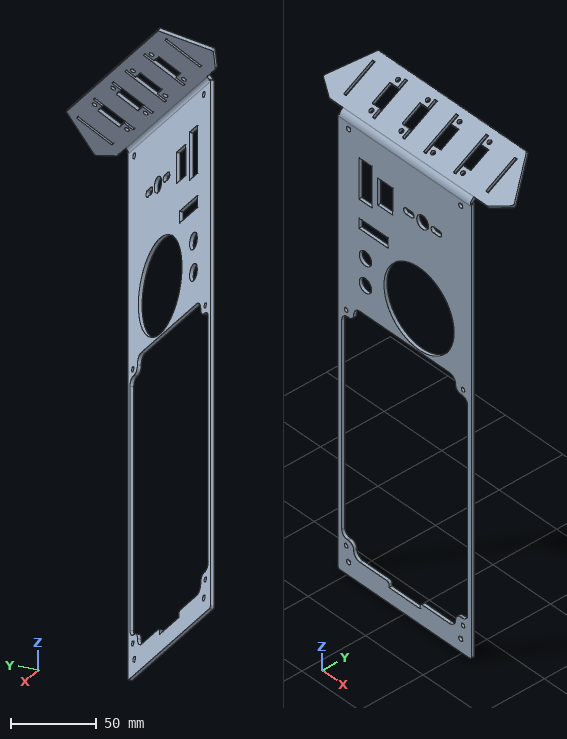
import cadquery as cq
import math

THICKNESS = 2.5
OVERALL_DEPTH = 38.92
OVERALL_HEIGHT = 360.19
OVERALL_WIDTH = 165.0

BEND_ANGLE = 60.0
BEND_OUTER_RADIUS = 6.0
BEND_INNER_RADIUS = BEND_OUTER_RADIUS - THICKNESS
BEND_SIN = math.sin(math.radians(BEND_ANGLE))
BEND_COS = math.cos(math.radians(BEND_ANGLE))
BEND_DEPTH = BEND_OUTER_RADIUS * (1 - BEND_COS)
BEND_RISE = BEND_OUTER_RADIUS * BEND_SIN

FLANGE_LENGTH = (OVERALL_DEPTH - BEND_DEPTH - THICKNESS * BEND_COS) / BEND_SIN
PANEL_HEIGHT = OVERALL_HEIGHT - BEND_RISE - FLANGE_LENGTH * BEND_COS

PANEL_WIDTH = 116.0
PANEL_CORNER_RADIUS = 1.5
BEND_WIDTH = 114.0
BEND_RELIEF_START = 1.2

MOUNT_HOLE_DIAMETER = 3.4
MOUNT_HOLE_SPACING_X = 97.5
MOUNT_HOLE_LEVELS = (10.0, 330.4)

TALL_CUTOUT = (-34.1, 299.2, 11.2, 30.5)
SWITCH_CUTOUT = (-16.8, 299.0, 13.0, 19.8)
WIDE_CUTOUT = (-27.1, 266.0, 25.2, 7.5)

CONNECTOR_X = 15.6
CONNECTOR_Z = 298.8
CONNECTOR_DIAMETER = 10.0
CONNECTOR_SLOT_OFFSET = 12.0
CONNECTOR_SLOT_LENGTH = 9.0
CONNECTOR_SLOT_WIDTH = 4.3

BUTTON_X = -34.1
BUTTON_LEVELS = (223.0, 243.0)
BUTTON_DIAMETER = 10.5

FAN_X = 12.5
FAN_Z = 233.1
FAN_DIAMETER = 60.8

WINDOW_WIDTH = 109.2
WINDOW_BOTTOM = 15.7
WINDOW_TOP = 201.2
WINDOW_NECK_WIDTH = 88.4
LOBE_HEIGHT = 10.4
LOBE_RADIUS = 4.7
LOBE_MARGIN = 1.0
WINDOW_NECK_RADIUS = 5.5
WINDOW_NOTCH_WIDTH = 27.0
WINDOW_NOTCH_DEPTH = 4.0
WINDOW_NOTCH_RADIUS = 2.0
SCREW_HOLE_DIAMETER = 3.0
SCREW_HOLE_SPACING_X = 101.6
SCREW_HOLE_LEVELS = (20.9, 195.4)

WING_TIP_HEIGHT = 9.5
WING_TIP_RADIUS = 1.5
WING_UPPER_ANGLE = 31.0
WING_LOWER_ANGLE = 57.5
FLANGE_MIDDLE = FLANGE_LENGTH / 2

SIDE_SLOT_SPACING = 123.6
SIDE_SLOT_WIDTH = 2.0
SIDE_SLOT_LENGTH = 26.0

PORT_PITCH = 26.0
PORT_INNER_EDGE = 8.2
PORT_WIDTH = 8.6
PORT_LENGTH = 16.0
PORT_STRIP_WIDTH = 2.0
PORT_STRIP_LENGTH = 29.4
PORT_HOLE_OFFSET = 5.6
PORT_HOLE_SPACING = 24.0
PORT_HOLE_DIAMETER = 3.0


def panel_plane():
    """XZ sketch plane on the outer face, facing -Y."""
    return cq.Workplane("XZ")


def flange_plane():
    """Sketch plane on the outer flange face, with local y running up the slope from the bend."""
    origin = (0, BEND_DEPTH, PANEL_HEIGHT + BEND_RISE)
    return cq.Workplane(cq.Plane(origin=origin, xDir=(1, 0, 0), normal=(0, -BEND_COS, BEND_SIN)))


def make_panel():
    return (
        panel_plane()
        .center(0, PANEL_HEIGHT / 2)
        .rect(PANEL_WIDTH, PANEL_HEIGHT)
        .extrude(-THICKNESS)
        .edges("|Y and <Z")
        .fillet(PANEL_CORNER_RADIUS)
    )


def make_bend():
    def arc_point(radius, angle):
        turn = math.radians(angle)
        return (
            BEND_OUTER_RADIUS - radius * math.cos(turn),
            PANEL_HEIGHT + radius * math.sin(turn),
        )

    half_turn = BEND_ANGLE / 2
    bend = (
        cq.Workplane("YZ")
        .moveTo(*arc_point(BEND_OUTER_RADIUS, 0))
        .threePointArc(arc_point(BEND_OUTER_RADIUS, half_turn), arc_point(BEND_OUTER_RADIUS, BEND_ANGLE))
        .lineTo(*arc_point(BEND_INNER_RADIUS, BEND_ANGLE))
        .threePointArc(arc_point(BEND_INNER_RADIUS, half_turn), arc_point(BEND_INNER_RADIUS, 0))
        .close()
        .extrude(PANEL_WIDTH / 2, both=True)
    )
    lower_part = cq.Workplane("XY").box(PANEL_WIDTH, OVERALL_DEPTH, 2 * (PANEL_HEIGHT + BEND_RELIEF_START))
    upper_part = cq.Workplane("XY").box(BEND_WIDTH, OVERALL_DEPTH, 2 * OVERALL_HEIGHT)
    return bend.intersect(lower_part.union(upper_part))


def make_flange():
    """Flange with a pointed wing on each side, its tip rounded between two sloping edges."""
    tip_centre_x = OVERALL_WIDTH / 2 - WING_TIP_RADIUS

    def tip_point(angle):
        turn = math.radians(angle)
        return (
            tip_centre_x + WING_TIP_RADIUS * math.cos(turn),
            WING_TIP_HEIGHT + WING_TIP_RADIUS * math.sin(turn),
        )

    upper_x, upper_y = tip_point(WING_UPPER_ANGLE)
    lower_x, lower_y = tip_point(-WING_LOWER_ANGLE)
    top_x = upper_x - (FLANGE_LENGTH - upper_y) * math.tan(math.radians(WING_UPPER_ANGLE))
    bottom_x = lower_x - lower_y * math.tan(math.radians(WING_LOWER_ANGLE))
    half = (
        flange_plane()
        .lineTo(bottom_x, 0)
        .lineTo(lower_x, lower_y)
        .threePointArc(tip_point(0), (upper_x, upper_y))
        .lineTo(top_x, FLANGE_LENGTH)
        .lineTo(0, FLANGE_LENGTH)
        .close()
        .extrude(-THICKNESS)
    )
    return half.union(half.mirror("YZ")).clean()


def make_panel_cutters():
    cutters = []

    def cut(sketch):
        cutters.append(sketch.extrude(-THICKNESS))

    for x, z, width, height in (TALL_CUTOUT, SWITCH_CUTOUT, WIDE_CUTOUT):
        cut(panel_plane().center(x, z).rect(width, height))

    mounts = [(side * MOUNT_HOLE_SPACING_X / 2, z) for side in (-1, 1) for z in MOUNT_HOLE_LEVELS]
    cut(panel_plane().pushPoints(mounts).circle(MOUNT_HOLE_DIAMETER / 2))
    screws = [(side * SCREW_HOLE_SPACING_X / 2, z) for side in (-1, 1) for z in SCREW_HOLE_LEVELS]
    cut(panel_plane().pushPoints(screws).circle(SCREW_HOLE_DIAMETER / 2))
    buttons = [(BUTTON_X, z) for z in BUTTON_LEVELS]
    cut(panel_plane().pushPoints(buttons).circle(BUTTON_DIAMETER / 2))
    cut(panel_plane().center(FAN_X, FAN_Z).circle(FAN_DIAMETER / 2))

    cut(panel_plane().center(CONNECTOR_X, CONNECTOR_Z).circle(CONNECTOR_DIAMETER / 2))
    slots = [(CONNECTOR_X + side * CONNECTOR_SLOT_OFFSET, CONNECTOR_Z) for side in (-1, 1)]
    cut(panel_plane().pushPoints(slots).slot2D(CONNECTOR_SLOT_LENGTH, CONNECTOR_SLOT_WIDTH))
    return cutters


def make_window_cutter():
    """Window with a rounded lobe left at each corner and a notch in the bottom edge."""
    middle = (WINDOW_BOTTOM + WINDOW_TOP) / 2
    height = WINDOW_TOP - WINDOW_BOTTOM
    neck = panel_plane().center(0, middle).rect(WINDOW_NECK_WIDTH, height).extrude(-THICKNESS)
    neck = neck.edges("|Y").fillet(WINDOW_NECK_RADIUS)
    body = (
        panel_plane()
        .center(0, middle)
        .rect(WINDOW_WIDTH, height - 2 * LOBE_HEIGHT)
        .extrude(-THICKNESS)
    )
    lobe_zone = cq.selectors.BoxSelector(
        (-PANEL_WIDTH, -THICKNESS, WINDOW_BOTTOM + LOBE_HEIGHT - LOBE_MARGIN),
        (PANEL_WIDTH, 2 * THICKNESS, WINDOW_TOP - LOBE_HEIGHT + LOBE_MARGIN),
    )
    window = neck.union(body).edges("|Y").edges(lobe_zone).fillet(LOBE_RADIUS)
    notch = (
        panel_plane()
        .center(0, WINDOW_BOTTOM)
        .rect(WINDOW_NOTCH_WIDTH, 2 * WINDOW_NOTCH_DEPTH)
        .extrude(-THICKNESS)
    )
    mouth_edges = cq.selectors.BoxSelector(
        (-WINDOW_NOTCH_WIDTH, -THICKNESS, WINDOW_BOTTOM - WINDOW_NOTCH_DEPTH / 2),
        (WINDOW_NOTCH_WIDTH, 2 * THICKNESS, WINDOW_BOTTOM + WINDOW_NOTCH_DEPTH / 2),
    )
    return window.union(notch).edges("|Y").edges(mouth_edges).fillet(WINDOW_NOTCH_RADIUS)


def make_port_cutters(inner_edge, side):
    """Port opening crossed by a longer narrow strip along its inner edge,
    with a screw hole above and below; side is -1 or 1.
    """
    port = (
        flange_plane()
        .center(side * (inner_edge + PORT_WIDTH / 2), FLANGE_MIDDLE)
        .rect(PORT_WIDTH, PORT_LENGTH)
        .extrude(-THICKNESS)
    )
    strip = (
        flange_plane()
        .center(side * (inner_edge + PORT_STRIP_WIDTH / 2), FLANGE_MIDDLE)
        .rect(PORT_STRIP_WIDTH, PORT_STRIP_LENGTH)
        .extrude(-THICKNESS)
    )
    holes = (
        flange_plane()
        .center(side * (inner_edge + PORT_HOLE_OFFSET), FLANGE_MIDDLE)
        .rarray(1, PORT_HOLE_SPACING, 1, 2)
        .circle(PORT_HOLE_DIAMETER / 2)
        .extrude(-THICKNESS)
    )
    return [port, strip, holes]


def make_flange_cutters():
    cutters = []
    for side in (-1, 1):
        for index in range(2):
            cutters += make_port_cutters(PORT_INNER_EDGE + index * PORT_PITCH, side)
        cutters.append(
            flange_plane()
            .center(side * SIDE_SLOT_SPACING / 2, FLANGE_MIDDLE)
            .rect(SIDE_SLOT_WIDTH, SIDE_SLOT_LENGTH)
            .extrude(-THICKNESS)
        )
    return cutters


result = make_panel().union(make_bend()).union(make_flange())
for cutter in make_panel_cutters() + [make_window_cutter()] + make_flange_cutters():
    result = result.cut(cutter)